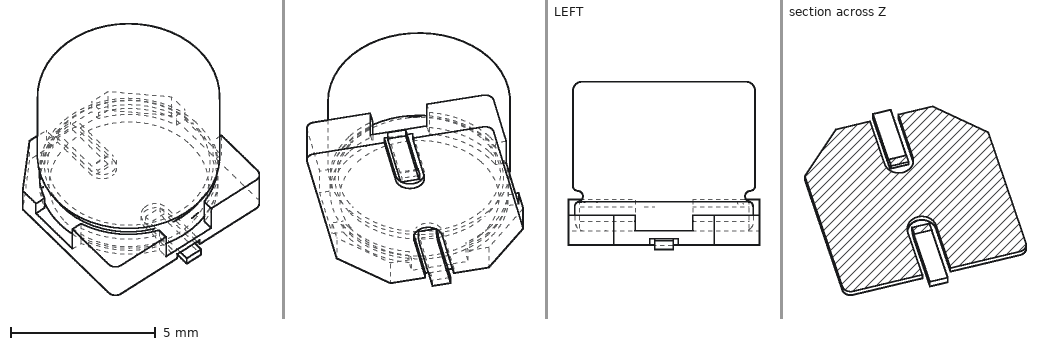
import cadquery as cq

lead_span = 7.2
total_height = 5.8

base_size = 6.6
base_bottom = 0.15
low_wall_top = 1.19
high_wall_top = 1.735
corner_chamfer = 1.56
corner_round = 0.3
notch_width = 2.0
notch_floor = 0.65

can_radius = 6.3 / 2
neck_radius = 5.61 / 2
foot_radius = 6.17 / 2
top_round = 0.325
foot_round = 0.33
groove_top = 2.2
neck_height = 1.84
groove_bottom = 1.48
shoulder_round = 0.17

lead_width = 0.64
lead_thickness = 0.3
lead_bend_radius = 0.3
lead_inner_radius = 0.04
lead_inner_end = 1.31
recess_width = 1.0
recess_top = 0.38


def make_base():
    """Square base: two chamfered corners at -X, two rounded at +X, walls in two heights."""
    half = base_size / 2
    base = (
        cq.Workplane("XY")
        .workplane(offset=base_bottom)
        .rect(base_size, base_size)
        .extrude(high_wall_top - base_bottom)
        .edges("|Z and <X")
        .chamfer(corner_chamfer)
        .edges("|Z and >X")
        .fillet(corner_round)
    )
    step_edge = notch_width / 2
    wall_step = (
        cq.Workplane("XY")
        .box(half + step_edge, base_size, high_wall_top - low_wall_top, centered=(False, True, False))
        .translate((-half, 0, low_wall_top))
    )
    base = base.cut(wall_step)

    floor = cq.Workplane("XY").workplane(offset=notch_floor)
    notch_height = high_wall_top - notch_floor
    base = base.cut(floor.rect(base_size, notch_width).extrude(notch_height))
    base = base.cut(floor.rect(notch_width, base_size).extrude(notch_height))

    return base.cut(floor.circle(foot_radius).extrude(notch_height))


def make_can():
    """Revolved can with a rounded top, a crimped neck and a rounded foot."""
    upper_mid = ((can_radius + neck_radius) / 2, (groove_top + neck_height) / 2)
    crease = (foot_radius - shoulder_round, groove_bottom + shoulder_round)
    return (
        cq.Workplane("XZ")
        .moveTo(0, notch_floor)
        .lineTo(0, total_height)
        .lineTo(can_radius - top_round, total_height)
        .tangentArcPoint((can_radius, total_height - top_round), relative=False)
        .lineTo(can_radius, groove_top)
        .tangentArcPoint(upper_mid, relative=False)
        .tangentArcPoint((neck_radius, neck_height), relative=False)
        .tangentArcPoint(crease, relative=False)
        .radiusArc((foot_radius, groove_bottom), shoulder_round)
        .lineTo(foot_radius, notch_floor + foot_round)
        .tangentArcPoint((foot_radius - foot_round, notch_floor), relative=False)
        .close()
        .revolve(360, (0, 0, 0), (0, 1, 0))
    )


def make_recess():
    """Round-ended recess in the underside of the base at the -X lead."""
    end_radius = recess_width / 2
    end_centre = -lead_inner_end - lead_thickness / 2
    run = end_centre + lead_span / 2
    depth = recess_top - base_bottom
    slot = (
        cq.Workplane("XY")
        .box(run, recess_width, depth, centered=(False, True, False))
        .translate((-lead_span / 2, 0, base_bottom))
    )
    round_end = (
        cq.Workplane("XY", origin=(end_centre, 0, base_bottom))
        .circle(end_radius)
        .extrude(depth)
    )
    return slot.union(round_end)


def make_lead():
    """Lead at -X: flat foot bent upward into the base."""
    tip = -lead_span / 2
    leg_outer = -lead_inner_end - lead_thickness
    return (
        cq.Workplane("XZ", origin=(0, lead_width / 2, 0))
        .moveTo(tip, 0)
        .lineTo(-lead_inner_end - lead_bend_radius, 0)
        .tangentArcPoint((-lead_inner_end, lead_bend_radius), relative=False)
        .lineTo(-lead_inner_end, notch_floor)
        .lineTo(leg_outer, notch_floor)
        .lineTo(leg_outer, lead_thickness + lead_inner_radius)
        .tangentArcPoint((leg_outer - lead_inner_radius, lead_thickness), relative=False)
        .lineTo(tip, lead_thickness)
        .close()
        .extrude(lead_width)
    )


base = make_base()
leads = []
for angle in (0, 180):
    base = base.cut(make_recess().rotate((0, 0, 0), (0, 0, 1), angle))
    leads.append(make_lead().rotate((0, 0, 0), (0, 0, 1), angle))

result = base.union(make_can())
for lead in leads:
    result = result.union(lead)